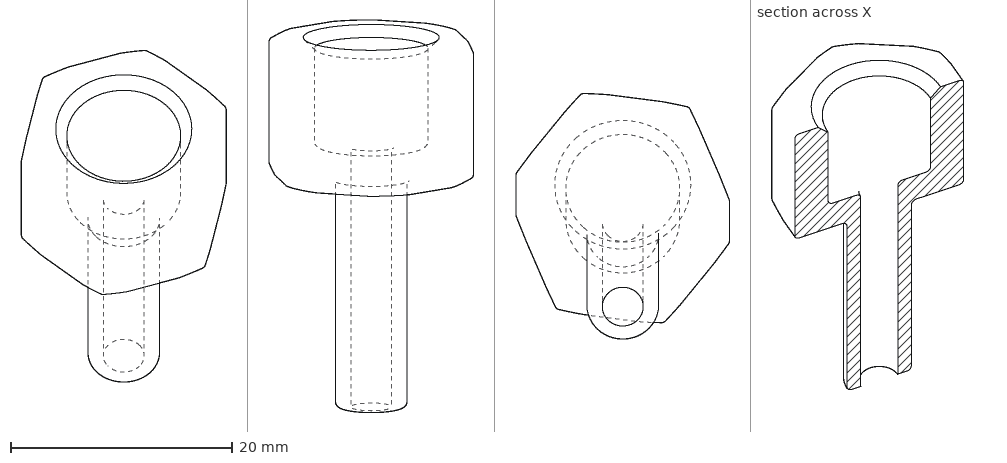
import cadquery as cq
import math

overall_height = 34.0
nut_height = 13.0
hexagon_sides = 6
across_flats = 17.0
corner_cone_angle = 30.0
edge_radius = 0.5
stem_diameter = 6.5
bore_diameter = 10.3
bore_depth = 10.0
bore_chamfer = 1.0
through_hole_diameter = 3.7

stem_length = overall_height - nut_height
bore_radius = bore_diameter / 2
stem_radius = stem_diameter / 2
hole_radius = through_hole_diameter / 2
floor_height = overall_height - bore_depth
half_arc_offset = edge_radius * math.sqrt(0.5)


def turn(outline):
    """Close an XZ half outline along the part axis and revolve it a full turn."""
    return outline.close().revolve(360, (0, 0, 0), (0, 1, 0))


def corner_cone_body(inset):
    """Turned body that trims the hexagon corners at both ends, shrunk inward by inset."""
    slope = math.radians(corner_cone_angle)
    end_radius = across_flats / 2 - inset * math.tan(slope / 2)
    outer_radius = across_flats / 2 / math.cos(math.pi / hexagon_sides)
    cone_drop = (outer_radius - end_radius) * math.tan(slope)
    bottom = stem_length + inset
    top = overall_height - inset
    outline = (
        cq.Workplane("XZ")
        .moveTo(0, bottom)
        .lineTo(end_radius, bottom)
        .lineTo(outer_radius, bottom + cone_drop)
        .lineTo(outer_radius, top - cone_drop)
        .lineTo(end_radius, top)
        .lineTo(0, top)
    )
    return turn(outline)


def make_nut():
    """Hexagon with coned corners: a sharp core grown outward by the edge radius to round all edges."""
    core_diagonal = (across_flats - 2 * edge_radius) / math.cos(math.pi / hexagon_sides)
    core = (
        cq.Workplane("XY", origin=(0, 0, stem_length + edge_radius))
        .polygon(hexagon_sides, core_diagonal)
        .extrude(nut_height - 2 * edge_radius)
        .intersect(corner_cone_body(edge_radius))
    )
    rounded_skin = core.shell(edge_radius, kind="arc")
    return rounded_skin.union(core)


def make_stem():
    """Round stem with a rounded free end and a concave fillet flaring out under the nut."""
    flare_radius = stem_radius + edge_radius
    end_arc_middle = (stem_radius - edge_radius + half_arc_offset, edge_radius - half_arc_offset)
    flare_arc_middle = (flare_radius - half_arc_offset, stem_length - edge_radius + half_arc_offset)
    outline = (
        cq.Workplane("XZ")
        .lineTo(stem_radius - edge_radius, 0)
        .threePointArc(end_arc_middle, (stem_radius, edge_radius))
        .lineTo(stem_radius, stem_length - edge_radius)
        .threePointArc(flare_arc_middle, (flare_radius, stem_length))
        .lineTo(0, stem_length)
    )
    return turn(outline)


def make_bore():
    """Cutter for the blind bore: chamfered mouth and rounded floor corner."""
    mouth_radius = bore_radius + bore_chamfer
    bore = (
        cq.Workplane("XY", origin=(0, 0, floor_height))
        .circle(bore_radius)
        .extrude(bore_depth)
        .faces("<Z")
        .edges()
        .fillet(edge_radius)
    )
    mouth = cq.Workplane(
        cq.Solid.makeCone(
            bore_radius, mouth_radius, bore_chamfer, pnt=cq.Vector(0, 0, overall_height - bore_chamfer)
        )
    )
    return bore.union(mouth)


def make_through_hole():
    """Cutter for the axial hole, with its edge at the bore floor rounded over."""
    lip_radius = hole_radius + edge_radius
    lip_arc_middle = (lip_radius - half_arc_offset, floor_height - edge_radius + half_arc_offset)
    outline = (
        cq.Workplane("XZ")
        .lineTo(hole_radius, 0)
        .lineTo(hole_radius, floor_height - edge_radius)
        .threePointArc(lip_arc_middle, (lip_radius, floor_height))
        .lineTo(0, floor_height)
    )
    return turn(outline)


result = make_nut().union(make_stem()).cut(make_bore()).cut(make_through_hole())